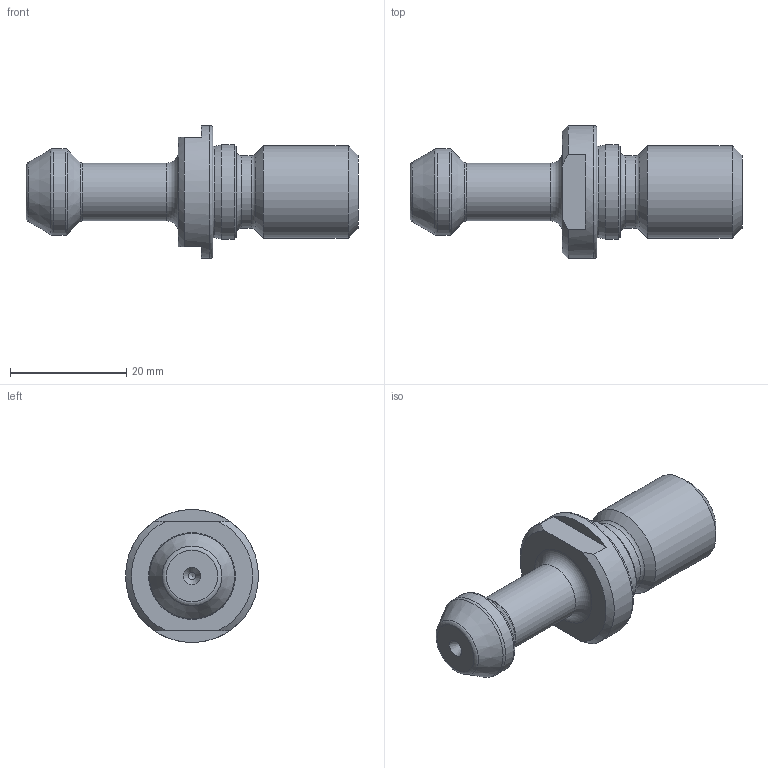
import cadquery as cq
import math


length = 57.15
flange_front = 26.2
flange_back = 32.15

head_radius = 14.95 / 2
head_corner_x = 4.45
nose_angle = 30
nose_round = 0.8
head_front_round = 1.0
head_back_x = 6.95
head_back_round = 0.5
neck_radius = 9.95 / 2
neck_front_round = 0.5
neck_root_round = 2.0

flange_radius = 22.9 / 2
flange_chamfer = 1.0
flange_back_round = 0.5
flat_half_width = 9.45
flat_length = 4.0

collar_radius = 16.28 / 2
collar_taper_end = 33.65
collar_taper_angle = 15
collar_root_round = 0.25
collar_back = 36.15
collar_chamfer = 0.3

relief_radius = 12.5 / 2
relief_round = 1.0
thread_radius = 15.88 / 2
thread_start = 40.85
end_chamfer = 1.7

countersink_radius = 1.5
countersink_angle = 60
pilot_radius = 1.2 / 2
pilot_length = 1.5
drill_tip_angle = 120


def toward(start, target, distance):
    """Point at a distance from start on the way to target."""
    span = math.dist(start, target)
    return tuple(s + (t - s) * distance / span for s, t in zip(start, target))


def turned(corners):
    """Revolve (x, radius, rounding) corners, running from axis to axis, about X."""
    points = [(x, r) for x, r, _ in corners]
    profile = cq.Workplane("XY").moveTo(*points[0])
    for before, corner, after, (_, _, rounding) in zip(points, points[1:], points[2:], corners[1:]):
        if rounding == 0:
            profile = profile.lineTo(*corner)
            continue
        ahead = toward(corner, after, 1)
        behind = toward(corner, before, 1)
        half_angle = math.asin(math.dist(ahead, behind) / 2)
        tangent_length = rounding / math.tan(half_angle)
        bisector = tuple((a + b) / 2 for a, b in zip(ahead, behind))
        arc_middle = toward(corner, bisector, rounding / math.sin(half_angle) - rounding)
        profile = profile.lineTo(*toward(corner, before, tangent_length))
        profile = profile.threePointArc(arc_middle, toward(corner, after, tangent_length))
    profile = profile.lineTo(*points[-1]).close()
    return profile.revolve(360, (0, 0, 0), (1, 0, 0))


def stud_body():
    nose_radius = head_radius - head_corner_x * math.tan(math.radians(nose_angle))
    neck_start = head_back_x + head_radius - neck_radius
    relief_end = thread_start - (thread_radius - relief_radius)
    taper_drop = (collar_taper_end - flange_back) * math.tan(math.radians(collar_taper_angle))
    return turned([
        (0, 0, 0),
        (0, nose_radius, nose_round),
        (head_corner_x, head_radius, head_front_round),
        (head_back_x, head_radius, head_back_round),
        (neck_start, neck_radius, neck_front_round),
        (flange_front, neck_radius, neck_root_round),
        (flange_front, flange_radius - flange_chamfer, 0),
        (flange_front + flange_chamfer, flange_radius, 0),
        (flange_back, flange_radius, flange_back_round),
        (flange_back, collar_radius - taper_drop, collar_root_round),
        (collar_taper_end, collar_radius, 0),
        (collar_back - collar_chamfer, collar_radius, 0),
        (collar_back, collar_radius - collar_chamfer, 0),
        (collar_back, relief_radius, relief_round),
        (relief_end, relief_radius, relief_round),
        (thread_start, thread_radius, 0),
        (length - end_chamfer, thread_radius, 0),
        (length, thread_radius - end_chamfer, 0),
        (length, 0, 0),
    ])


def flat_cutter(side):
    """Block that mills one wrench flat; side is +1 for the top, -1 for the bottom."""
    depth = flange_radius - flat_half_width
    block = cq.Workplane("XY").box(flat_length, 2 * flange_radius, depth)
    middle_x = flange_front + flat_length / 2
    return block.translate((middle_x, 0, side * (flat_half_width + depth / 2)))


def centre_hole():
    countersink_depth = (countersink_radius - pilot_radius) / math.tan(math.radians(countersink_angle / 2))
    pilot_end = countersink_depth + pilot_length
    tip = pilot_end + pilot_radius / math.tan(math.radians(drill_tip_angle / 2))
    return turned([
        (0, 0, 0),
        (0, countersink_radius, 0),
        (countersink_depth, pilot_radius, 0),
        (pilot_end, pilot_radius, 0),
        (tip, 0, 0),
    ])


result = stud_body().cut(centre_hole())
for side in (1, -1):
    result = result.cut(flat_cutter(side))